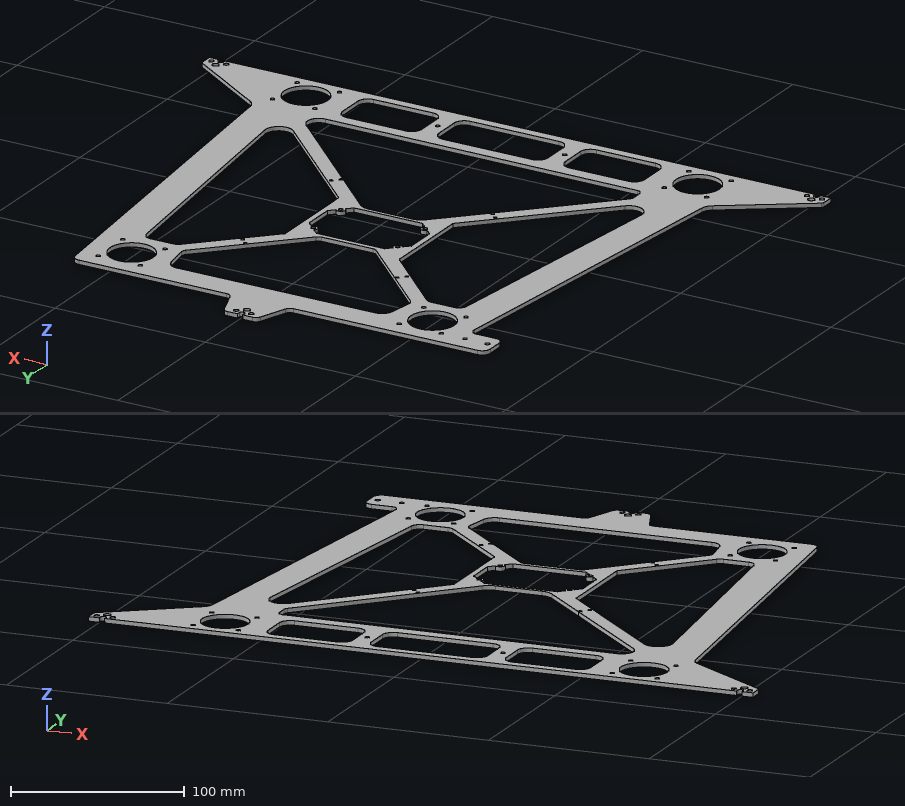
import cadquery as cq
import math

THICKNESS = 2.8
OVERALL_HEIGHT = 320.0
FOOT_HALF_WIDTH = 207.0
EDGE_RADIUS = 5.5

FOOT_END_HEIGHT = 9.0
KNEE_HALF_WIDTH = 150.5
KNEE_HEIGHT = 46.7
SHOULDER_HALF_WIDTH = 125.5
SHOULDER_HEIGHT = 297.5
EAR_X = -150.0
EAR_BOTTOM = 276.7
TONGUE_TIP_HALF_WIDTH = 11.0
TONGUE_ROOT_HALF_WIDTH = 19.5
FOOT_TIP_RADIUS = 2.0
KNEE_RADIUS = 8.3
TONGUE_RADIUS = 4.0

HUB_Y = 173.0
STRUT_WIDTH = 9.5
STRUT_SPREAD = 0.6
STRUT_INNER_EDGE = STRUT_SPREAD - STRUT_WIDTH / math.sqrt(2)
STRUT_OUTER_EDGE = STRUT_SPREAD + STRUT_WIDTH / math.sqrt(2)
HUB_HALF_WIDTH = 38.0
HUB_HALF_HEIGHT = 25.0
STRUT_PIN_DISTANCE = 52.5
STRUT_PIN_OFFSET = 2.0
STRUT_PIN_DIAMETER = 2.0

HUB_WINDOW_Y = 172.5
HUB_WINDOW_WIDTH = 68.0
HUB_WINDOW_HEIGHT = 43.0
HUB_WINDOW_CHAMFER = 11.0
HUB_HOLE_X = 28.0
HUB_HOLE_Y_OFFSET = 15.7
HUB_BOSS_RADIUS = 3.0
HUB_HOLE_DIAMETER = 2.52

UPPER_WINDOW_TOP = 279.0
UPPER_WINDOW_TOP_HALF_WIDTH = 72.5
UPPER_WINDOW_SIDE_HALF_WIDTH = 76.0
UPPER_WINDOW_TOP_RADIUS = 7.5
UPPER_WINDOW_SIDE_RADIUS = 4.0

SIDE_WINDOW_TOP = 249.0
SIDE_WINDOW_TOP_HALF_WIDTH = 106.0
SIDE_WINDOW_TIP_HALF_WIDTH = 128.0
SIDE_WINDOW_TIP_RADIUS = 8.5

LOWER_WINDOW_FLOOR_LEFT = 46.7
LOWER_WINDOW_FLOOR_RIGHT = 45.5
LOWER_WINDOW_LEFT_X = -108.5
LOWER_WINDOW_LEFT_RADIUS = 3.5
LOWER_WINDOW_RIGHT_RADIUS = 7.5
LOWER_WINDOW_TOP_RADIUS = 10.5

RAIL_WINDOW_HEIGHT = 30.5
RAIL_WINDOW_Y = 22.0
RAIL_WINDOW_RADIUS = 6.5
RAIL_CENTRE_WINDOW_WIDTH = 72.5
RAIL_SIDE_WINDOW_WIDTH = 52.5
RAIL_SIDE_WINDOW_X = 74.0
RAIL_HOLE_X = 42.0
RAIL_HOLE_DIAMETER = 2.52

OPENING_DIAMETER = 28.5
OPENING_SCREW_SPACING = 28.0
OPENING_SCREW_DIAMETER = 2.52
UPPER_OPENING_X = 100.0
UPPER_OPENING_Y = 272.0
LOWER_OPENING_X = 130.5
LOWER_OPENING_Y = 21.0

EAR_HOLE_Y = UPPER_OPENING_Y + OPENING_SCREW_SPACING / 2
EAR_OUTER_HOLE_X = -144.8
EAR_OUTER_HOLE_DIAMETER = 3.0
EAR_INNER_HOLE_X = -130.0
EAR_INNER_HOLE_DIAMETER = 2.52

MOUNT_FOOT_X = 198.0
MOUNT_SIDE_HOLE_SPACING = 10.0
MOUNT_SIDE_HOLE_DEPTH = 4.0
MOUNT_SIDE_HOLE_DIAMETER = 3.0
MOUNT_HOLE_DEPTH = 8.0
MOUNT_HOLE_DIAMETER = 4.0
MOUNT_NOTCH_WIDTH = 3.4
MOUNT_NOTCH_DEPTH = 3.7


def prism(points, corner_radii):
    """Plate-thick prism over a polygon; corner_radii holds (radius, corner points) pairs."""
    body = cq.Workplane("XY").polyline(points).close().extrude(THICKNESS)
    for radius, corners in corner_radii:
        for x, y in corners:
            corner = cq.selectors.NearestToPointSelector((x, y, THICKNESS / 2))
            body = body.edges("|Z").edges(corner).fillet(radius)
    return body


def mirror_x(points):
    return [(-x, y) for x, y in points]


def drill(points, diameter):
    return cq.Workplane("XY").pushPoints(points).circle(diameter / 2).extrude(THICKNESS)


def outline():
    foot = [(FOOT_HALF_WIDTH, 0), (FOOT_HALF_WIDTH, FOOT_END_HEIGHT)]
    knee = (KNEE_HALF_WIDTH, KNEE_HEIGHT)
    shoulder = (SHOULDER_HALF_WIDTH, SHOULDER_HEIGHT)
    tongue = [(TONGUE_ROOT_HALF_WIDTH, SHOULDER_HEIGHT), (TONGUE_TIP_HALF_WIDTH, OVERALL_HEIGHT)]
    lean = (KNEE_HALF_WIDTH - SHOULDER_HALF_WIDTH) / (SHOULDER_HEIGHT - KNEE_HEIGHT)
    ear_root = (-SHOULDER_HALF_WIDTH - lean * (SHOULDER_HEIGHT - EAR_BOTTOM), EAR_BOTTOM)
    ear = [(EAR_X, SHOULDER_HEIGHT), (EAR_X, EAR_BOTTOM)]

    right = foot + [knee, shoulder] + tongue
    left = mirror_x(tongue[::-1]) + ear + [ear_root] + mirror_x([knee] + foot[::-1])
    return prism(right + left, [
        (FOOT_TIP_RADIUS, [foot[1]] + mirror_x([foot[1]])),
        (KNEE_RADIUS, [knee] + mirror_x([knee])),
        (EDGE_RADIUS, [shoulder] + ear),
        (TONGUE_RADIUS, tongue + mirror_x(tongue) + [ear_root]),
    ])


def upper_window():
    top = (UPPER_WINDOW_TOP_HALF_WIDTH, UPPER_WINDOW_TOP)
    side = (UPPER_WINDOW_SIDE_HALF_WIDTH, HUB_Y + UPPER_WINDOW_SIDE_HALF_WIDTH - STRUT_INNER_EDGE)
    base = (HUB_HALF_HEIGHT + STRUT_INNER_EDGE, HUB_Y + HUB_HALF_HEIGHT)
    right = [base, side, top]
    return prism(right + mirror_x(right[::-1]), [
        (UPPER_WINDOW_TOP_RADIUS, [top] + mirror_x([top])),
        (UPPER_WINDOW_SIDE_RADIUS, [side, base] + mirror_x([side, base])),
    ])


def side_window():
    outer_top = (SIDE_WINDOW_TOP_HALF_WIDTH, SIDE_WINDOW_TOP)
    inner_top = (SIDE_WINDOW_TOP - HUB_Y + STRUT_OUTER_EDGE, SIDE_WINDOW_TOP)
    hub_rise = HUB_HALF_WIDTH - STRUT_OUTER_EDGE
    hub_side = [(HUB_HALF_WIDTH, HUB_Y + hub_rise), (HUB_HALF_WIDTH, HUB_Y - hub_rise)]
    tip = (SIDE_WINDOW_TIP_HALF_WIDTH, HUB_Y - SIDE_WINDOW_TIP_HALF_WIDTH + STRUT_OUTER_EDGE)
    return prism([outer_top, inner_top] + hub_side + [tip], [
        (EDGE_RADIUS, [outer_top, inner_top]),
        (SIDE_WINDOW_TIP_RADIUS, [tip]),
    ])


def lower_window():
    top = (HUB_HALF_HEIGHT + STRUT_INNER_EDGE, HUB_Y - HUB_HALF_HEIGHT)
    right = (HUB_Y + STRUT_INNER_EDGE - LOWER_WINDOW_FLOOR_RIGHT, LOWER_WINDOW_FLOOR_RIGHT)
    left_low = (LOWER_WINDOW_LEFT_X, LOWER_WINDOW_FLOOR_LEFT)
    left_high = (LOWER_WINDOW_LEFT_X, HUB_Y + STRUT_INNER_EDGE + LOWER_WINDOW_LEFT_X)
    return prism([top, right, left_low, left_high] + mirror_x([top]), [
        (LOWER_WINDOW_TOP_RADIUS, [top] + mirror_x([top])),
        (LOWER_WINDOW_RIGHT_RADIUS, [right]),
        (LOWER_WINDOW_LEFT_RADIUS, [left_low, left_high]),
    ])


def hub_window():
    """Rectangle with cut corners; the screw bosses sit close to the middle of each cut."""
    bosses = [(sx * HUB_HOLE_X, HUB_WINDOW_Y + sy * HUB_HOLE_Y_OFFSET) for sx in (-1, 1) for sy in (-1, 1)]
    window = (
        cq.Workplane("XY")
        .center(0, HUB_WINDOW_Y)
        .rect(HUB_WINDOW_WIDTH, HUB_WINDOW_HEIGHT)
        .extrude(THICKNESS)
        .edges("|Z")
        .chamfer(HUB_WINDOW_CHAMFER)
    )
    return window.cut(drill(bosses, 2 * HUB_BOSS_RADIUS)).union(drill(bosses, HUB_HOLE_DIAMETER))


def rail_windows():
    def window(x, width):
        body = cq.Workplane("XY").center(x, RAIL_WINDOW_Y).rect(width, RAIL_WINDOW_HEIGHT)
        return body.extrude(THICKNESS).edges("|Z").fillet(RAIL_WINDOW_RADIUS)

    windows = window(0, RAIL_CENTRE_WINDOW_WIDTH)
    for side in (-1, 1):
        windows = windows.union(window(side * RAIL_SIDE_WINDOW_X, RAIL_SIDE_WINDOW_WIDTH))
    return windows


def strut_pins():
    """A pair of pin holes side by side across each strut."""
    points = []
    for sx in (-1, 1):
        for sy in (-1, 1):
            for shift in (-STRUT_PIN_OFFSET, STRUT_PIN_OFFSET):
                x = sx * (STRUT_PIN_DISTANCE + shift)
                y = HUB_Y + sy * (STRUT_PIN_DISTANCE - shift)
                points.append((x, y))
    return drill(points, STRUT_PIN_DIAMETER)


def round_opening(x, y):
    screws = (
        cq.Workplane("XY")
        .center(x, y)
        .rect(OPENING_SCREW_SPACING, OPENING_SCREW_SPACING, forConstruction=True)
        .vertices()
        .circle(OPENING_SCREW_DIAMETER / 2)
        .extrude(THICKNESS)
    )
    return drill([(x, y)], OPENING_DIAMETER).union(screws)


def edge_mount(x, edge_y, inward):
    """Mount on a horizontal edge; inward is +1 or -1, the Y direction into the plate."""
    side_y = edge_y + inward * MOUNT_SIDE_HOLE_DEPTH
    side_holes = [(x + s * MOUNT_SIDE_HOLE_SPACING / 2, side_y) for s in (-1, 1)]
    notch_end = edge_y + inward * (MOUNT_NOTCH_DEPTH - MOUNT_NOTCH_WIDTH / 2)
    notch = (
        cq.Workplane("XY")
        .center(x, edge_y)
        .rect(MOUNT_NOTCH_WIDTH, 2 * abs(notch_end - edge_y))
        .extrude(THICKNESS)
        .union(drill([(x, notch_end)], MOUNT_NOTCH_WIDTH))
    )
    centre_hole = drill([(x, edge_y + inward * MOUNT_HOLE_DEPTH)], MOUNT_HOLE_DIAMETER)
    return notch.union(centre_hole).union(drill(side_holes, MOUNT_SIDE_HOLE_DIAMETER))


cutters = [
    upper_window(),
    side_window(),
    side_window().mirror("YZ"),
    lower_window(),
    hub_window(),
    rail_windows(),
    strut_pins(),
    drill([(-RAIL_HOLE_X, RAIL_WINDOW_Y), (RAIL_HOLE_X, RAIL_WINDOW_Y)], RAIL_HOLE_DIAMETER),
    drill([(EAR_OUTER_HOLE_X, EAR_HOLE_Y)], EAR_OUTER_HOLE_DIAMETER),
    drill([(EAR_INNER_HOLE_X, EAR_HOLE_Y)], EAR_INNER_HOLE_DIAMETER),
    edge_mount(-MOUNT_FOOT_X, 0, 1),
    edge_mount(MOUNT_FOOT_X, 0, 1),
    edge_mount(0, OVERALL_HEIGHT, -1),
]
for side in (-1, 1):
    cutters.append(round_opening(side * UPPER_OPENING_X, UPPER_OPENING_Y))
    cutters.append(round_opening(side * LOWER_OPENING_X, LOWER_OPENING_Y))

result = outline()
for cutter in cutters:
    result = result.cut(cutter)